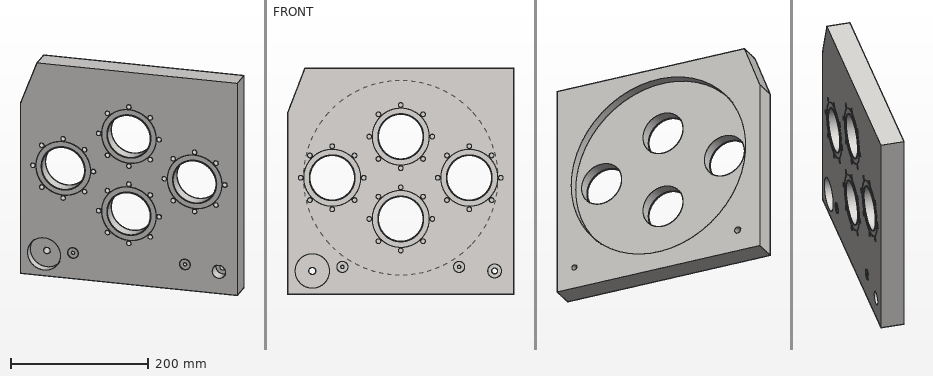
import cadquery as cq

side = 330.0
thickness = 35.0
corner_cut_x = 25.0
corner_cut_z = 65.0

cross_center_z = 5.0
port_offset_x = 100.0
port_offset_z = 60.0
port_bore_dia = 65.0
port_seal_inner_dia = 67.0
port_seal_outer_dia = 83.0
port_seal_depth = 1.0

screw_count = 8
screw_circle_dia = 92.0
screw_hole_dia = 7.0
screw_hole_depth = 15.0

back_recess_dia = 284.0
back_recess_depth = 15.0

corner_hole_z = -131.0
large_hole_x = -129.0
large_hole_dia = 10.0
large_bore_dia = 50.0
large_bore_depth = 15.0
small_hole_x = 137.0
small_hole_dia = 8.2
small_bore_dia = 20.0
small_bore_depth = 19.8

spot_x = 85.0
spot_z = -125.0
spot_dia = 16.2
spot_depth = 1.0
pilot_dia = 5.0
pilot_depth = 15.0

front_y = -thickness / 2


def bore(x, z, diameter, depth):
    """Cylinder sunk into the front face at (x, z)."""
    front_plane = cq.Workplane("XZ", origin=(x, front_y, z))
    return front_plane.circle(diameter / 2).extrude(-depth)


def plate():
    half = side / 2
    outline = [
        (-half, -half),
        (half, -half),
        (half, half),
        (-half + corner_cut_x, half),
        (-half, half - corner_cut_z),
    ]
    return cq.Workplane("XZ", origin=(0, front_y, 0)).polyline(outline).close().extrude(-thickness)


def cut_port(body, x, z):
    """Through bore with a seal groove around it, circled by screw holes."""
    seal_core = bore(x, z, port_seal_inner_dia, port_seal_depth)
    body = body.cut(bore(x, z, port_seal_outer_dia, port_seal_depth).cut(seal_core))
    body = body.cut(bore(x, z, port_bore_dia, thickness))
    screw_holes = (
        cq.Workplane("XZ", origin=(x, front_y, z))
        .polarArray(screw_circle_dia / 2, 0, 360, screw_count)
        .circle(screw_hole_dia / 2)
        .extrude(-screw_hole_depth)
    )
    return body.cut(screw_holes)


def cut_stepped_hole(body, x, z, outer_dia, outer_depth, inner_dia, inner_depth):
    """Wide bore with a narrower coaxial hole; both depths start at the front face."""
    body = body.cut(bore(x, z, outer_dia, outer_depth))
    return body.cut(bore(x, z, inner_dia, inner_depth))


def cut_back_recess(body):
    recess = (
        cq.Workplane("XZ", origin=(0, -front_y, cross_center_z))
        .circle(back_recess_dia / 2)
        .extrude(back_recess_depth)
    )
    return body.cut(recess)


result = cut_back_recess(plate())

port_centers = [
    (-port_offset_x, cross_center_z),
    (port_offset_x, cross_center_z),
    (0, cross_center_z - port_offset_z),
    (0, cross_center_z + port_offset_z),
]
for port_x, port_z in port_centers:
    result = cut_port(result, port_x, port_z)

result = cut_stepped_hole(
    result, large_hole_x, corner_hole_z, large_bore_dia, large_bore_depth, large_hole_dia, thickness
)
result = cut_stepped_hole(
    result, small_hole_x, corner_hole_z, small_bore_dia, small_bore_depth, small_hole_dia, thickness
)
for side_x in (-spot_x, spot_x):
    result = cut_stepped_hole(result, side_x, spot_z, spot_dia, spot_depth, pilot_dia, pilot_depth)